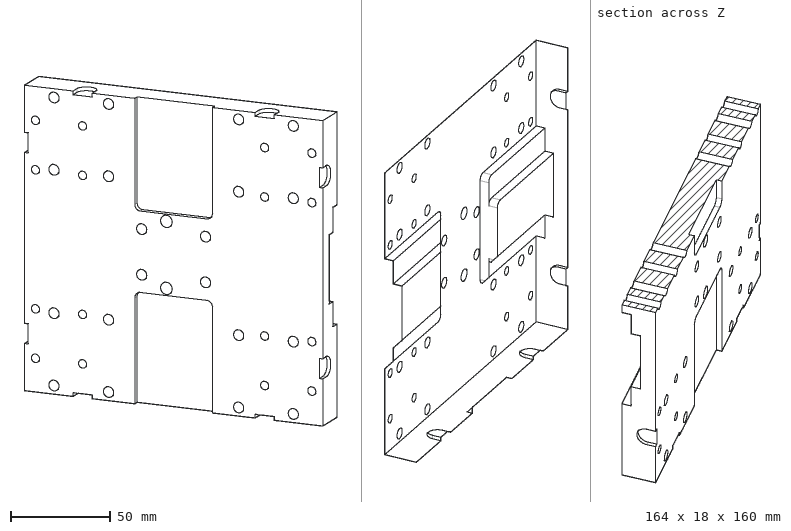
import cadquery as cq

width = 164.0
thickness = 18.0
height = 160.0
front = -thickness / 2
back = thickness / 2

web = 42.6
corner_radius = 3.1
front_depth = 3.0
back_wide_opening = 62.5
back_narrow_opening = 36.2
back_step = 5.0

notch_width = 10.5
notch_reach = 10.0
notch_depth = 2.0
notch_offset = 50.0

mount_diameter = 5.5
mount_x = (35.8, 65.8)
mount_z = (37.5, 75.5)
small_diameter = 4.5
small_x = (notch_offset, 76.0)
small_z = (36.4, 62.3)
centre_x = 17.5
centre_z = 12.0
pin_diameter = 6.4
pin_x = -4.0
pin_z = 17.5


def edge_pocket(opening, depth, half_length):
    """Pocket open at the +Z edge, from Y = 0 to Y = depth, with rounded corners at its closed end."""
    inner_end = web / 2
    overrun = 2 * corner_radius
    length = half_length - inner_end + overrun
    return (
        cq.Workplane("XY")
        .box(opening, depth, length, centered=(True, False, False))
        .edges("|Y")
        .fillet(corner_radius)
        .translate((0, 0, inner_end))
    )


def edge_notch(half_length):
    """Notch in the +Z edge face of a plate that reaches half_length from its centre."""
    radius = notch_width / 2
    straight = notch_reach - radius
    return (
        cq.Workplane("XY", origin=(0, front, half_length - notch_depth))
        .moveTo(-radius, 0)
        .lineTo(radius, 0)
        .lineTo(radius, straight)
        .threePointArc((0, notch_reach), (-radius, straight))
        .close()
        .extrude(notch_depth)
    )


def turned(tool, angle):
    return tool.rotate((0, 0, 0), (0, 1, 0), angle)


def mirrored_points(xs, zs):
    return [(sx * x, sz * z) for x in xs for z in zs for sx in (-1, 1) for sz in (-1, 1)]


def through_holes(points, diameter):
    return (
        cq.Workplane("XZ", origin=(0, back, 0))
        .pushPoints(points)
        .circle(diameter / 2)
        .extrude(thickness)
    )


result = cq.Workplane("XY").box(width, thickness, height)

front_pocket = edge_pocket(web, front_depth, height / 2).translate((0, front, 0))
for angle in (0, 180):
    result = result.cut(turned(front_pocket, angle))

for opening, depth in ((back_wide_opening, back_step), (back_narrow_opening, 2 * back_step)):
    back_pocket = edge_pocket(opening, depth, width / 2).translate((0, back - depth, 0))
    for angle in (90, 270):
        result = result.cut(turned(back_pocket, angle))

for angle, half_length in ((0, height / 2), (90, width / 2), (180, height / 2), (270, width / 2)):
    for offset in (-notch_offset, notch_offset):
        notch = edge_notch(half_length).translate((offset, 0, 0))
        result = result.cut(turned(notch, angle))

result = result.cut(through_holes(mirrored_points(mount_x, mount_z), mount_diameter))
result = result.cut(through_holes(mirrored_points(small_x, small_z), small_diameter))
result = result.cut(through_holes(mirrored_points([centre_x], [centre_z]), mount_diameter))
result = result.cut(through_holes([(pin_x, -pin_z), (pin_x, pin_z)], pin_diameter))